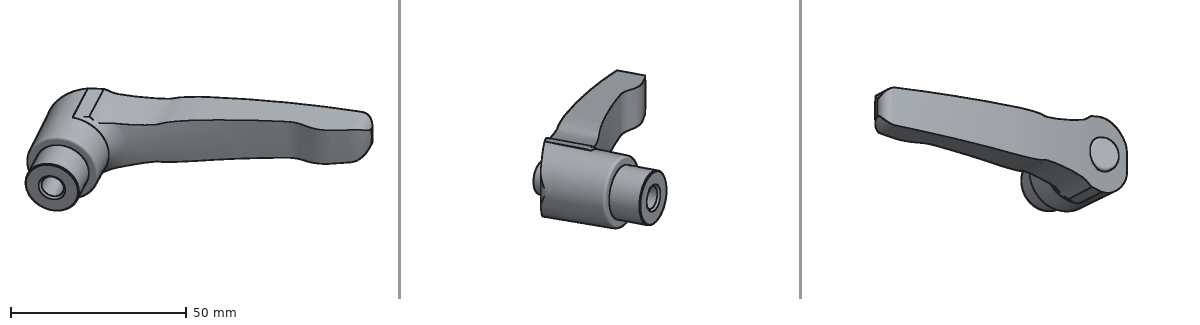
import cadquery as cq
import math

insert_radius = 16.0 / 2
insert_chamfer = 0.3
bore_radius = 6.6 / 2
bore_mouth_radius = 4.0
bore_depth = 13.6
drill_half_angle = math.radians(59)

hub_foot = 10.1
hub_foot_radius = 10.6
hub_top_radius = 22.1 / 2
hub_top = 36.4
hub_foot_fillet = 0.8
hub_left = -10.9

screw_radius = 10.0 / 2
screw_top = 36.9
screw_fillet = 0.9

arm_length = 80.0
grip_start = 30.1
grip_taper_start = 32.1
grip_half_width = 7.1
tip_start = 75.6
tip_half_width = 5.6
tip_end_half_width = 2.6
arm_top = 54.5
tip_nose = 51.0
ring_margin = 0.9
flare_radius = 15.1
flare_foot = 20.55
flare_top = 26.3
flare_bulge = (12.1, 24.0)
flare_foot_radius = 10.8


def side_body():
    """Envelope seen along Z: rounded hub shoulder, curved back and rounded upper tip."""
    return (
        cq.Workplane("XY")
        .moveTo(hub_left, hub_foot)
        .lineTo(hub_left, 29.0)
        .threePointArc((-10.5, 30.7), (-8.8, 31.9))
        .lineTo(5.3, 37.8)
        .threePointArc((38.2, 48.4), (tip_start, arm_top - 0.1))
        .lineTo(77.3, arm_top)
        .threePointArc((79.3, 53.5), (arm_length, tip_nose))
        .lineTo(arm_length, hub_foot)
        .close()
        .extrude(hub_top_radius, both=True)
    )


def arm_plan():
    """Waisted arm outline in XZ, starting with a flat beside the hub and raised along +Y."""
    neck_edge = [(6.4, 9.3), (10.0, 8.0), (22.3, 6.5), (grip_start, grip_half_width)]
    half = (
        cq.Workplane("XZ", origin=(0, flare_foot, 0))
        .lineTo(0, hub_top_radius)
        .lineTo(4.3, 10.55)
        .spline(neck_edge, tangents=[(1, -0.45), (1, 0)], includeCurrent=True)
        .lineTo(grip_taper_start, grip_half_width)
        .threePointArc((54.55, 6.4), (tip_start, tip_half_width))
        .threePointArc((78.55, 4.6), (arm_length, tip_end_half_width))
        .lineTo(arm_length, 0)
        .close()
        .extrude(flare_foot - arm_top)
    )
    return half.union(half.mirror("XY"))


def about_hub_axis(profile):
    return profile.close().revolve(360, (0, 0, 0), (0, 1, 0))


def hub():
    return about_hub_axis(
        cq.Workplane("XY")
        .moveTo(0, hub_foot)
        .lineTo(hub_foot_radius, hub_foot)
        .lineTo(hub_top_radius, hub_top)
        .lineTo(hub_top_radius, arm_top)
        .lineTo(0, arm_top)
    ).faces("<Y").edges().fillet(hub_foot_fillet)


def space_under_arm():
    """Ring below the arm; revolving it about the hub axis crowns the underside."""
    return about_hub_axis(
        cq.Workplane("XY")
        .moveTo(flare_foot_radius, flare_foot)
        .threePointArc(flare_bulge, (flare_radius, flare_top))
        .threePointArc((35.9, 35.6), (58.0, 42.6))
        .threePointArc((60.5, 42.8), (62.9, 42.4))
        .threePointArc((66.7, 41.8), (70.0, 42.4))
        .lineTo(tip_start, 44.55)
        .threePointArc((78.8, 47.2), (arm_length, tip_nose))
        .lineTo(arm_length + ring_margin, tip_nose)
        .lineTo(arm_length + ring_margin, flare_foot)
    )


def axial_cylinder(radius, bottom, top):
    return cq.Workplane("XZ", origin=(0, bottom, 0)).circle(radius).extrude(bottom - top)


def insert():
    return axial_cylinder(insert_radius, 0, hub_foot).faces("<Y").chamfer(insert_chamfer)


def blind_bore():
    """Blind hole with a countersunk mouth and a drill-point end."""
    point_depth = bore_radius / math.tan(drill_half_angle)
    return about_hub_axis(
        cq.Workplane("XY")
        .lineTo(bore_mouth_radius, 0)
        .lineTo(bore_radius, bore_mouth_radius - bore_radius)
        .lineTo(bore_radius, bore_depth)
        .lineTo(0, bore_depth + point_depth)
    )


arm = arm_plan().cut(space_under_arm())
body = hub().union(arm).intersect(side_body())

screw_recess = axial_cylinder(screw_radius, screw_top - screw_fillet, arm_top)
screw_head = axial_cylinder(screw_radius, hub_foot, screw_top).faces(">Y").edges().fillet(screw_fillet)

result = body.cut(screw_recess).union(screw_head).union(insert()).cut(blind_bore())